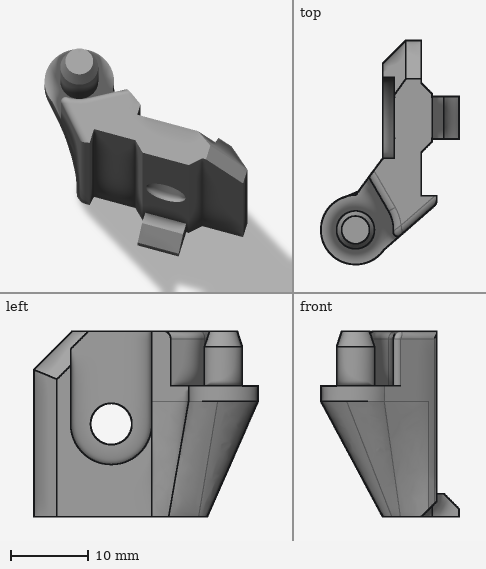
import cadquery as cq
import math

height = 24.0
plate_thickness = 5.0
plate_end = 10.0
end_bevel = 3.0
corner_cut = 5.0

pad_face = 6.38
pad_half_width = 3.1
pad_slope = pad_face - plate_thickness
tab_reach = 9.9
tab_half_width = 2.75
tab_height = 3.02
tab_bevel = 2.0

hole_diameter = 5.3
hole_height = 12.0
recess_radius = 5.25
recess_depth = 1.5

pin_x = -3.5
pin_y = -14.5
pin_diameter = 4.9
pin_tip_diameter = 3.6
pin_tip_length = 2.0
boss_radius = 4.5
boss_top = 16.95
boss_bottom = 14.94

flange_x = 7.0
flange_back_y = -10.05
flange_front_y = -11.15
boss_joint_x = 0.17
boss_joint_y = pin_y - math.sqrt(boss_radius**2 - (boss_joint_x - pin_x)**2)
clearance_radius = 4.9
clearance_wall_angle = 30
rounding = 1.0
wall_end_rounding = 0.55

support_x = 5.85
front_slope = (flange_front_y - boss_joint_y) / (flange_x - boss_joint_x)
support_y = boss_joint_y + front_slope * (support_x - boss_joint_x)
foot_side_y = -7.42
foot_front_x = 2.25
foot_front_y = -12.4
foot_radius = 1.15

margin = 8.7


def boss_point(angle):
    """Point on the boss rim at an angle in degrees."""
    turn = math.radians(angle)
    return (pin_x + boss_radius * math.cos(turn), pin_y + boss_radius * math.sin(turn))


def block(x0, x1, y0, y1, z0, z1):
    """Box given by its limits."""
    return cq.Workplane("XY").box(x1 - x0, y1 - y0, z1 - z0, centered=False).translate((x0, y0, z0))


def make_plate():
    plate = (
        cq.Workplane("XY")
        .moveTo(0, -recess_radius)
        .lineTo(0, plate_end - end_bevel)
        .lineTo(end_bevel, plate_end)
        .lineTo(plate_thickness, plate_end)
        .lineTo(plate_thickness, pad_half_width + pad_slope)
        .lineTo(pad_face, pad_half_width)
        .lineTo(pad_face, -pad_half_width)
        .lineTo(plate_thickness, -pad_half_width - pad_slope)
        .lineTo(plate_thickness, -recess_radius)
        .close()
        .extrude(height)
    )
    corner_plane = cq.Plane(
        origin=(end_bevel, plate_end - corner_cut, height), xDir=(1, 0, 0), normal=(0, -1, 1)
    )
    bevel_run = end_bevel + 0.3
    corner = (
        cq.Workplane(corner_plane)
        .polyline([(0, 0), (-bevel_run, -bevel_run), (-bevel_run, margin), (margin, margin), (margin, 0)])
        .close()
        .extrude(2 * margin, both=True)
    )
    return plate.cut(corner)


def make_tab():
    return (
        cq.Workplane("XZ")
        .moveTo(plate_thickness, 0)
        .lineTo(tab_reach, 0)
        .lineTo(tab_reach, tab_height - tab_bevel)
        .lineTo(tab_reach - tab_bevel, tab_height)
        .lineTo(plate_thickness, tab_height)
        .close()
        .extrude(tab_half_width, both=True)
    )


def wing_prism(bottom):
    """Wing outline, without the round boss, raised from bottom to the top of the part."""
    return (
        cq.Workplane("XY", origin=(0, 0, bottom))
        .moveTo(0, -recess_radius)
        .lineTo(pin_x, pin_y + boss_radius)
        .lineTo(pin_x, pin_y)
        .lineTo(boss_joint_x, boss_joint_y)
        .lineTo(flange_x, flange_front_y)
        .lineTo(flange_x, flange_back_y)
        .lineTo(plate_thickness, flange_back_y)
        .lineTo(plate_thickness, -recess_radius)
        .close()
        .extrude(height - bottom)
    )


def rounded_wing_prism(bottom):
    """Wing outline with its outer flange edge rounded."""
    flange_edge = (flange_x, flange_front_y, (bottom + height) / 2)
    return wing_prism(bottom).edges(cq.selectors.NearestToPointSelector(flange_edge)).fillet(rounding)


def make_upper_wing():
    """Wing above the boss, cleared around the pin and rounded along the open edges."""
    clearance_height = height - boss_top
    clearance = cq.Workplane("XY", origin=(pin_x, pin_y, boss_top))
    round_cut = clearance.circle(clearance_radius).extrude(clearance_height)
    straight_cut = (
        clearance.transformed(rotate=(0, 0, clearance_wall_angle))
        .rect(2 * clearance_radius, 4 * clearance_radius)
        .extrude(clearance_height)
    )
    lower_half = (
        clearance.transformed(rotate=(0, 0, clearance_wall_angle))
        .center(0, -2 * clearance_radius)
        .rect(4 * clearance_radius, 4 * clearance_radius)
        .extrude(clearance_height)
    )
    wing = wing_prism(boss_top).cut(round_cut).cut(straight_cut.cut(lower_half))

    offset_y = boss_joint_y - front_slope * (boss_joint_x - pin_x) - pin_y
    steepness = 1 + front_slope**2
    root = math.sqrt(steepness * clearance_radius**2 - offset_y**2)
    corner_dx = (root - front_slope * offset_y) / steepness
    corner = (pin_x + corner_dx, pin_y + offset_y + front_slope * corner_dx, (boss_top + height) / 2)
    wing = wing.edges(cq.selectors.NearestToPointSelector(corner)).fillet(wall_end_rounding)
    wall_turn = math.radians(clearance_wall_angle / 2)
    wall_top = (
        pin_x + clearance_radius * math.cos(wall_turn),
        pin_y + clearance_radius * math.sin(wall_turn),
        height,
    )
    wing = wing.edges(cq.selectors.NearestToPointSelector(wall_top)).fillet(rounding)
    return wing.intersect(rounded_wing_prism(boss_top))


def make_support():
    """Ruled taper from the boss outline down to a small rounded foot beside the plate."""
    joint_angle = math.degrees(math.atan2(boss_joint_y - pin_y, boss_joint_x - pin_x))
    rim_angles = [90, 170, 255, 360 + joint_angle]
    top = cq.Workplane("XY", origin=(0, 0, boss_bottom)).moveTo(0, -recess_radius).lineTo(*boss_point(90))
    for start, end in zip(rim_angles, rim_angles[1:]):
        top = top.threePointArc(boss_point((start + end) / 2), boss_point(end))
    top = top.lineTo(support_x, support_y).lineTo(support_x, -recess_radius).close()

    arc_inset = foot_radius * (1 - math.sqrt(0.5))
    foot = (
        cq.Workplane("XY")
        .moveTo(0, -recess_radius)
        .lineTo(0, foot_side_y)
        .lineTo(0, foot_front_y + foot_radius)
        .threePointArc((arc_inset, foot_front_y + arc_inset), (foot_radius, foot_front_y))
        .lineTo(foot_front_x, foot_front_y)
        .lineTo(support_x, support_y)
        .lineTo(support_x, -recess_radius)
        .close()
    )
    taper = cq.Solid.makeLoft([foot.val(), top.val()], True)
    behind_flange = block(plate_thickness, support_x + 0.3, flange_back_y, 0, 0, boss_bottom)
    return cq.Workplane("XY").add(taper).cut(behind_flange)


def make_lower_wing():
    """Boss-level web, with the flange carried down to a 45 degree foot."""
    top_trim = block(-margin, flange_x + 0.3, -3 * margin, 0, boss_top, height)
    web = rounded_wing_prism(boss_bottom).cut(top_trim)
    flange = rounded_wing_prism(0).cut(top_trim)
    flange = flange.intersect(block(support_x, flange_x, -3 * margin, 0, 0, height))
    return web.union(flange)


def make_boss_and_pin():
    axis = cq.Workplane("XY", origin=(pin_x, pin_y, boss_bottom))
    boss = axis.circle(boss_radius).extrude(boss_top - boss_bottom)
    pin = axis.circle(pin_diameter / 2).extrude(height - pin_tip_length - boss_bottom)
    tip = (
        pin.faces(">Z")
        .workplane()
        .circle(pin_diameter / 2)
        .workplane(offset=pin_tip_length)
        .circle(pin_tip_diameter / 2)
        .loft(combine=False)
    )
    return boss.union(pin).union(tip)


def make_foot_chamfer():
    run = flange_x - plate_thickness
    return (
        cq.Workplane("XZ", origin=(0, flange_back_y, 0))
        .polyline([(plate_thickness, 0), (flange_x, run), (flange_x + 0.3, run), (flange_x + 0.3, 0)])
        .close()
        .extrude(margin)
    )


def make_mounting_recess():
    side = cq.Workplane("YZ", origin=(0, 0, hole_height))
    hole = side.circle(hole_diameter / 2).extrude(tab_reach)
    round_end = side.circle(recess_radius).extrude(recess_depth)
    channel = block(0, recess_depth, -recess_radius, recess_radius, hole_height, height)
    return hole.union(round_end).union(channel)


result = (
    make_plate()
    .union(make_tab())
    .union(make_support())
    .union(make_lower_wing())
    .cut(make_foot_chamfer())
    .union(make_upper_wing())
    .union(make_boss_and_pin())
    .cut(make_mounting_recess())
)